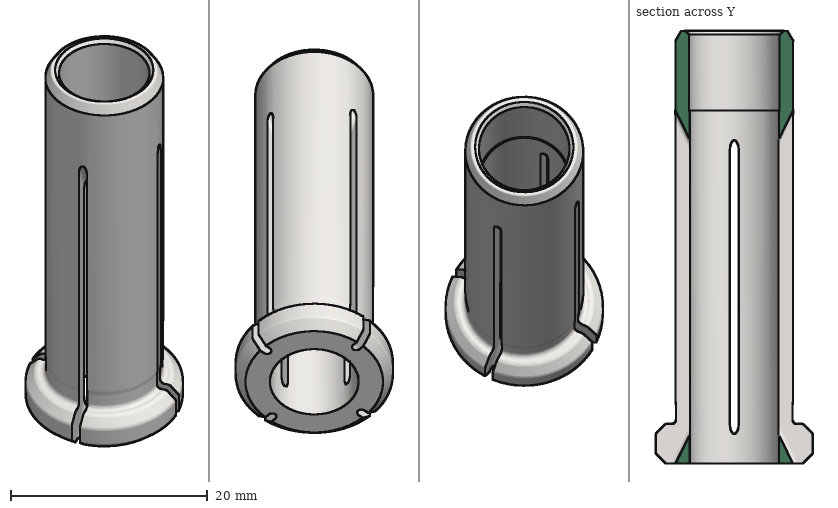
import cadquery as cq
import math

length = 44.0
tube_radius = 12.0 / 2
bore_radius = 9.0 / 2

flange_radius = 16.0 / 2
flange_height = 4.1
flange_chamfer = 1.05
flange_foot_chamfer = 1.0
flange_rounding = 0.45
flange_top_rounding = 0.55
foot_rounding = 0.35

groove_radius = 11.9 / 2
groove_top = 5.85
groove_taper_top = 6.4
groove_fillet = 0.5
undercut_depth = 0.15

rim_chamfer_height = 1.0
rim_chamfer_width = rim_chamfer_height * math.tan(math.radians(30))
rim_rounding = 0.2
mouth_chamfer = 0.4
upper_bore_radius = 9.2 / 2

slot_count = 4
slot_width = 0.9
slot_floor_angle = 26.0
slot_foot_radius = 6.0
slot_top = 35.9


def circles(body, radius, height):
    """Circular edges of the body with the given radius and height."""
    tolerance = 0.005
    return [
        edge for edge in body.edges("%CIRCLE").vals()
        if abs(edge.radius() - radius) < tolerance and abs(edge.Center().z - height) < tolerance
    ]


def make_body():
    """Revolve the outer outline and round its edges."""
    undercut_floor = flange_height - undercut_depth
    rim_radius = tube_radius - rim_chamfer_width
    outline = [
        (0, 0),
        (flange_radius - flange_foot_chamfer, 0),
        (flange_radius, flange_foot_chamfer),
        (flange_radius, flange_height - flange_chamfer),
        (flange_radius - flange_chamfer, flange_height),
        (groove_radius, undercut_floor),
        (groove_radius, groove_top),
        (tube_radius, groove_taper_top),
        (tube_radius, length - rim_chamfer_height),
        (rim_radius, length),
        (0, length),
    ]
    body = cq.Workplane("XZ").polyline(outline).close().revolve(360, (0, 0), (0, 1))

    for radius, height, rounding in [
        (flange_radius, flange_foot_chamfer, foot_rounding),
        (flange_radius, flange_height - flange_chamfer, flange_rounding),
        (flange_radius - flange_chamfer, flange_height, flange_top_rounding),
        (groove_radius, undercut_floor, groove_fillet),
        (rim_radius, length, rim_rounding),
    ]:
        body = body.newObject(circles(body, radius, height)).fillet(rounding)
    return body


def make_bore():
    """Bore that widens slightly above the slots and has a chamfered mouth."""
    outline = [
        (0, 0),
        (bore_radius, 0),
        (bore_radius, slot_top),
        (upper_bore_radius, slot_top),
        (upper_bore_radius, length - mouth_chamfer),
        (upper_bore_radius + mouth_chamfer, length),
        (0, length),
    ]
    return cq.Workplane("XZ").polyline(outline).close().revolve(360, (0, 0), (0, 1))


def make_slot():
    """Cutter for the slot on the +X side, with half-round floors at both ends."""
    angle = math.radians(slot_floor_angle)
    slope = 1 / math.tan(angle)
    inner = bore_radius / 2
    outer = flange_radius + slot_width
    half_width = slot_width / 2
    setback = half_width / math.sin(angle)
    outline = [
        (outer, (slot_foot_radius - outer) * slope + setback),
        (inner, (slot_foot_radius - inner) * slope + setback),
        (inner, slot_top - (tube_radius - inner) * slope - setback),
        (outer, slot_top + (outer - tube_radius) * slope - setback),
    ]
    slot = cq.Workplane("XZ").polyline(outline).close().extrude(half_width, both=True)
    for start, end in [outline[:2], outline[2:]]:
        base = cq.Vector(start[0], 0, start[1])
        axis = cq.Vector(end[0], 0, end[1]) - base
        floor = cq.Solid.makeCylinder(half_width, axis.Length, base, axis)
        slot = slot.union(cq.Workplane(floor))
    return slot


result = make_body().cut(make_bore())
cutter = make_slot()
for index in range(slot_count):
    result = result.cut(cutter.rotate((0, 0, 0), (0, 0, 1), index * 360 / slot_count))